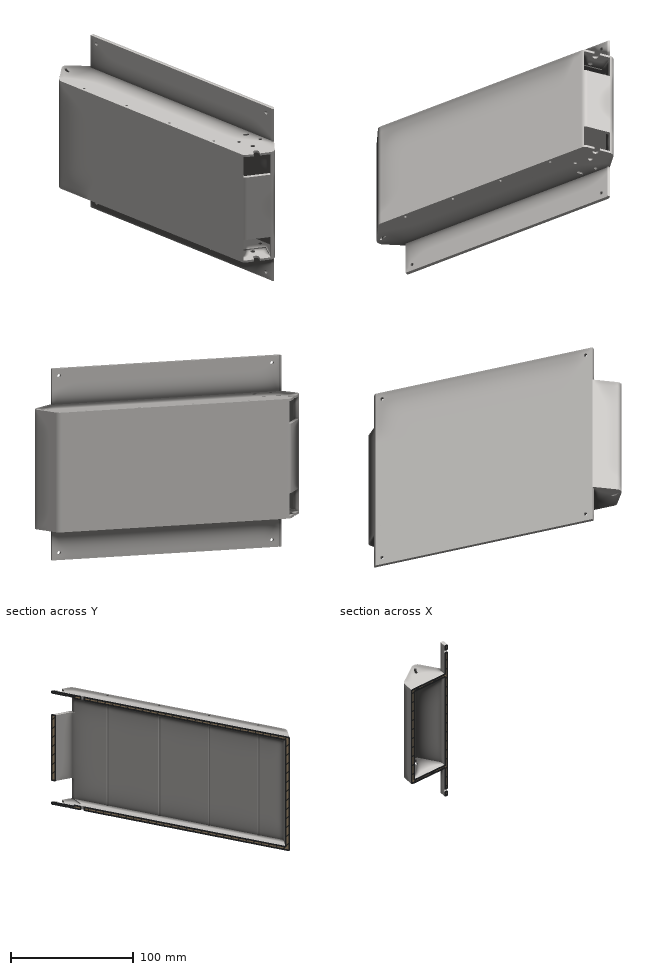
import cadquery as cq
import math

BODY_DEPTH = 37.0
BODY_HEIGHT = 100.0
WALL = 3.0
BEND_RADIUS = 5.0

BACK_LEFT_X = 18.6
BACK_RIGHT_X = 213.7
FRONT_LEFT_X = 13.4
FRONT_RIGHT_X = 212.9
FRONT_SLOPE = math.radians(55)
BACK_LEFT_SLOPE = math.radians(36.5)
BACK_RIGHT_SLOPE = math.radians(46.8)

PLATE_HEIGHT = 160.0
LIP_DEPTH = 2.4
LIP_THICKNESS = 2.0
MOUNT_HOLE_DIAMETER = 3.0
MOUNT_HOLE_END_GAP = 6.0
MOUNT_HOLE_SIDE_GAP = 6.2
MOUNT_HOLE_SPACING = 183.0

COVER_HOLE_DIAMETER = 2.0
COVER_HOLE_Y = -34.0
COVER_HOLE_XS = (38.1, 83.9, 130.0, 178.0)
PIVOT_HOLE = (208.0, -19.9)
PIVOT_HOLE_DIAMETER = 4.0
SCREW_HOLES = ((205.0, -7.0), (194.8, -21.9))
SCREW_HOLE_DIAMETER = 3.0
STRAIGHT_SLOT_CENTER = (191.0, -8.6)
STRAIGHT_SLOT_LENGTH = 4.8
STRAIGHT_SLOT_WIDTH = 2.5
ARC_SLOT_WIDTH = 2.0
ARC_SLOT_CENTER = (10.8, -11.3)
ARC_SLOT_RADIUS = 9.3
ARC_SLOT_START = math.radians(226)
ARC_SLOT_END = math.radians(266)
EDGE_SLOT_CENTER = (216.6, -25.8)
EDGE_SLOT_WIDTH = 5.0

WINDOW_DEPTH = 17.0
WINDOW_LEFT_X = 212.9
WINDOW_RIGHT_X = 226.0
WINDOW_LOW_Z = 29.0
WINDOW_HIGH_Z = 48.0


def tip(front_x, back_x, back_slope, side):
    """Sharp corner where a front wall meets a back wall; side is -1 left, +1 right."""
    front_run = 1 / math.tan(FRONT_SLOPE)
    back_run = 1 / math.tan(back_slope)
    reach = side * (front_x - back_x) + BODY_DEPTH * front_run
    depth = reach / (front_run + back_run)
    return (back_x + side * depth * back_run, -depth)


LEFT_TIP = tip(FRONT_LEFT_X, BACK_LEFT_X, BACK_LEFT_SLOPE, -1)
RIGHT_TIP = tip(FRONT_RIGHT_X, BACK_RIGHT_X, BACK_RIGHT_SLOPE, 1)


def prism(points, height):
    """Solid with the given outline, centered on mid height."""
    return cq.Workplane("XY").polyline(points).close().extrude(height / 2, both=True)


def bent_section(inset, height):
    """Six-sided prism, its walls moved inward by the inset, with the front and tip edges rounded."""
    corners = [
        (BACK_LEFT_X, 0),
        LEFT_TIP,
        (FRONT_LEFT_X, -BODY_DEPTH),
        (FRONT_RIGHT_X, -BODY_DEPTH),
        RIGHT_TIP,
        (BACK_RIGHT_X, 0),
    ]
    outline = cq.Workplane("XY").polyline(corners).close()
    if inset > 0:
        outline = outline.offset2D(-inset, "intersection")
    solid = outline.extrude(height / 2, both=True)
    return solid.edges("|Z and (<Y or <X or >X)").fillet(BEND_RADIUS - inset)


def make_housing():
    """Hollow housing with walls and caps of equal thickness."""
    cavity_height = BODY_HEIGHT - 2 * WALL
    return bent_section(0, BODY_HEIGHT).cut(bent_section(WALL, cavity_height))


def make_plate():
    """Flat plate whose right end carries a short lip along the back right slope."""
    sheet = prism(
        [(BACK_LEFT_X, 0), (BACK_LEFT_X, -WALL), (BACK_RIGHT_X, -WALL), (BACK_RIGHT_X, 0)],
        PLATE_HEIGHT,
    )
    lip_x = BACK_RIGHT_X + LIP_DEPTH / math.tan(BACK_RIGHT_SLOPE)
    inward_x = -LIP_THICKNESS * math.sin(BACK_RIGHT_SLOPE)
    inward_y = -LIP_THICKNESS * math.cos(BACK_RIGHT_SLOPE)
    lip = prism(
        [
            (BACK_RIGHT_X, 0),
            (lip_x, -LIP_DEPTH),
            (lip_x + inward_x, -LIP_DEPTH + inward_y),
            (BACK_RIGHT_X + inward_x, inward_y),
        ],
        PLATE_HEIGHT,
    )
    return sheet.union(lip)


def mount_holes():
    first_x = BACK_LEFT_X + MOUNT_HOLE_SIDE_GAP
    z = PLATE_HEIGHT / 2 - MOUNT_HOLE_END_GAP
    spots = [(first_x + dx, side * z) for dx in (0, MOUNT_HOLE_SPACING) for side in (-1, 1)]
    return cq.Workplane("XZ").pushPoints(spots).circle(MOUNT_HOLE_DIAMETER / 2).extrude(WALL)


def round_holes(spots, diameter):
    return cq.Workplane("XY").pushPoints(spots).circle(diameter / 2).extrude(BODY_HEIGHT, both=True)


def straight_slot():
    return (
        cq.Workplane("XY")
        .center(*STRAIGHT_SLOT_CENTER)
        .transformed(rotate=(0, 0, math.degrees(FRONT_SLOPE)))
        .rect(STRAIGHT_SLOT_LENGTH, STRAIGHT_SLOT_WIDTH)
        .extrude(BODY_HEIGHT, both=True)
    )


def arc_slot():
    def point(radius, angle):
        x, y = ARC_SLOT_CENTER
        return (x + radius * math.cos(angle), y + radius * math.sin(angle))

    inner = ARC_SLOT_RADIUS - ARC_SLOT_WIDTH / 2
    outer = ARC_SLOT_RADIUS + ARC_SLOT_WIDTH / 2
    middle = (ARC_SLOT_START + ARC_SLOT_END) / 2
    return (
        cq.Workplane("XY")
        .moveTo(*point(inner, ARC_SLOT_START))
        .threePointArc(point(inner, middle), point(inner, ARC_SLOT_END))
        .lineTo(*point(outer, ARC_SLOT_END))
        .threePointArc(point(outer, middle), point(outer, ARC_SLOT_START))
        .close()
        .extrude(BODY_HEIGHT, both=True)
    )


def wall_frame(origin):
    """Plane normal to Z with local X pointing out through the front right wall."""
    outward = (math.sin(FRONT_SLOPE), -math.cos(FRONT_SLOPE), 0)
    return cq.Workplane(cq.Plane(origin=origin, xDir=outward, normal=(0, 0, 1)))


def edge_slot():
    """U-shaped slot through the upper cap, open through the front right wall."""
    reach = 3 * WALL
    height = BODY_HEIGHT / 2 - WINDOW_LOW_Z
    frame = wall_frame((*EDGE_SLOT_CENTER, WINDOW_LOW_Z))
    round_end = frame.circle(EDGE_SLOT_WIDTH / 2).extrude(height)
    mouth = frame.center(reach / 2, 0).rect(reach, EDGE_SLOT_WIDTH).extrude(height)
    return round_end.union(mouth)


def window():
    """Deep rectangular cut, normal to the front right wall and into the inside of the cap."""
    length = (WINDOW_RIGHT_X - WINDOW_LEFT_X) / math.cos(FRONT_SLOPE)
    left_y = -BODY_DEPTH + (WINDOW_LEFT_X - FRONT_RIGHT_X) * math.tan(FRONT_SLOPE)
    frame = wall_frame((WINDOW_LEFT_X, left_y, WINDOW_LOW_Z))
    cut_out = frame.center(-WINDOW_DEPTH / 2, length / 2).rect(WINDOW_DEPTH, length)
    return cut_out.extrude(WINDOW_HIGH_Z - WINDOW_LOW_Z)


cover_holes = [(x, COVER_HOLE_Y) for x in COVER_HOLE_XS]
upper_opening = window().union(edge_slot())

result = make_housing().union(make_plate())
result = result.cut(mount_holes())
result = result.cut(round_holes(cover_holes, COVER_HOLE_DIAMETER))
result = result.cut(round_holes([PIVOT_HOLE], PIVOT_HOLE_DIAMETER))
result = result.cut(round_holes(SCREW_HOLES, SCREW_HOLE_DIAMETER))
result = result.cut(straight_slot()).cut(arc_slot())
result = result.cut(upper_opening).cut(upper_opening.mirror("XY"))